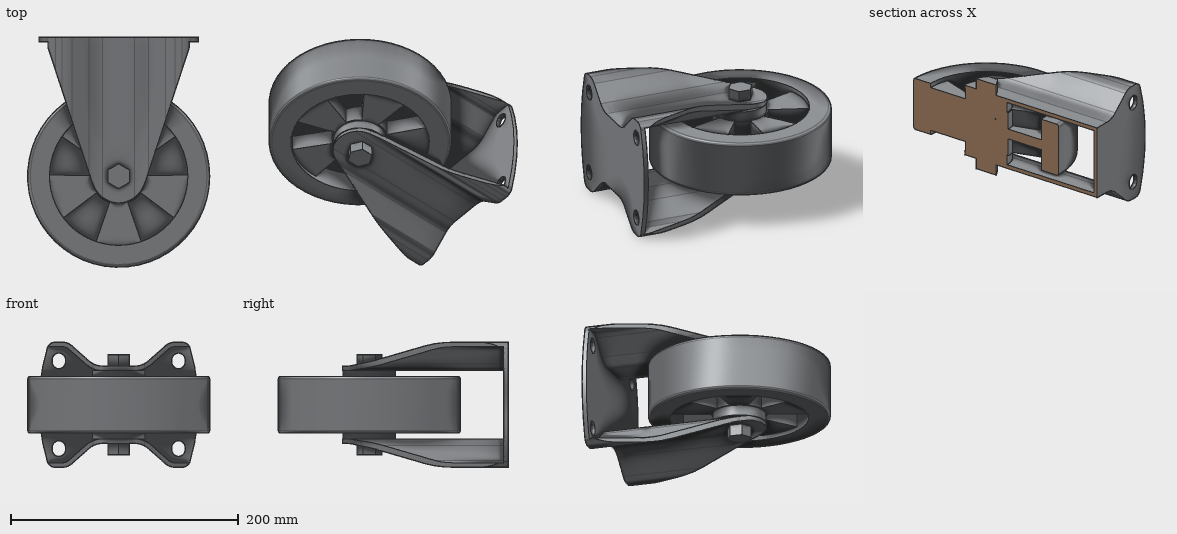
import cadquery as cq
import math


WHEEL_DIAMETER = 160.0
WHEEL_WIDTH = 50.0
TREAD_ROUND = 2.5
RIM_INNER_DIAMETER = 121.44
SPOKE_RECESS = 4.0
WEB_THICKNESS = 10.0
HUB_DIAMETER = 46.4
WINDOW_INNER_DIAMETER = 49.0
WINDOW_COUNT = 5
WINDOW_ANGLE = 34.0
FIRST_WINDOW_ANGLE = 18.0

SHEET = 4.0
BRACKET_WIDTH = 110.0
PLATE_LENGTH = 140.0
PLATE_BACK_Y = 122.0
LEG_GAP = 60.0
LEG_TIP_RADIUS = 23.7
LEG_TAPER_ANGLE = 18.2
CORNER_X = 61.0
CORNER_ROUND = 7.5

GROOVE_BOTTOM_X = 21.0
GROOVE_TOP_X = 44.7
GROOVE_BOTTOM_ROUND = 18.3
GROOVE_TOP_ROUND = 12.7

HOLE_WIDTH = 11.5
HOLE_LENGTH = 13.5
HOLE_SPACING_X = 105.0
HOLE_SPACING_Z = 77.0

BOLT_ACROSS_FLATS = 19.0
BOLT_HEAD_HEIGHT = 10.0

WHEEL_HALF = WHEEL_WIDTH / 2
WEB_HALF = WEB_THICKNESS / 2
BRACKET_HALF = BRACKET_WIDTH / 2
LEG_INNER_Z = LEG_GAP / 2
LEG_OUTER_Z = LEG_INNER_Z + SHEET
LEG_TIP_Y = -LEG_TIP_RADIUS
PLATE_FRONT_Y = PLATE_BACK_Y - SHEET
PLATE_SIDE_BULGE = PLATE_LENGTH / 2 - CORNER_X
GROOVE_SLOPE = math.atan2(BRACKET_HALF - LEG_OUTER_Z, GROOVE_TOP_X - GROOVE_BOTTOM_X)
BEND_SHIFT = SHEET * math.tan(GROOVE_SLOPE / 2)
EDGE_PICK = 1.0


def disc(diameter, bottom, top):
    """Cylinder on the axle axis between two heights."""
    return cq.Workplane("XY").workplane(offset=bottom).circle(diameter / 2).extrude(top - bottom)


def with_mirror(shape):
    """The shape together with its mirror image across the wheel's middle plane."""
    return shape.union(shape.mirror("XY"))


def spoke_window(angle):
    """Pocket between two spokes, from the hub collar out to the rim and down to the web."""
    start = math.radians(angle - WINDOW_ANGLE / 2)
    end = math.radians(angle + WINDOW_ANGLE / 2)
    reach = RIM_INNER_DIAMETER
    wedge = (
        cq.Workplane("XY")
        .workplane(offset=WEB_HALF)
        .lineTo(reach * math.cos(start), reach * math.sin(start))
        .lineTo(reach * math.cos(end), reach * math.sin(end))
        .close()
        .extrude(WHEEL_HALF - WEB_HALF)
    )
    rim_bore = disc(RIM_INNER_DIAMETER, WEB_HALF, WHEEL_HALF)
    collar = disc(WINDOW_INNER_DIAMETER, WEB_HALF, WHEEL_HALF)
    return wedge.intersect(rim_bore).cut(collar)


def make_wheel():
    """Wheel with recessed spokes on both faces, and the hub that spans the legs."""
    wheel = disc(WHEEL_DIAMETER, -WHEEL_HALF, WHEEL_HALF).edges().fillet(TREAD_ROUND)
    pockets = disc(RIM_INNER_DIAMETER, WHEEL_HALF - SPOKE_RECESS, WHEEL_HALF)
    for index in range(WINDOW_COUNT):
        pockets = pockets.union(spoke_window(FIRST_WINDOW_ANGLE + index * 360 / WINDOW_COUNT))
    hub = disc(HUB_DIAMETER, -LEG_INNER_Z, LEG_INNER_Z)
    return wheel.cut(with_mirror(pockets)).union(hub)


def round_bends(bar, x, z, radius):
    """Round the four edges along Y that pass through (+-x, +-z)."""
    for edge_x in (x, -x):
        for edge_z in (z, -z):
            pick = cq.selectors.BoxSelector(
                (edge_x - EDGE_PICK, LEG_TIP_Y, edge_z - EDGE_PICK),
                (edge_x + EDGE_PICK, PLATE_BACK_Y, edge_z + EDGE_PICK),
            )
            bar = bar.edges("|Y").edges(pick).fillet(radius)
    return bar


def grooved_bar(corner_x, groove_bottom, groove_top, back_y):
    """Bar from the leg tips to back_y, grooved above and below, with bowed sides.

    groove_bottom and groove_top are the (x, z, radius) of the groove's bends.
    """
    bottom_x, bottom_z, bottom_round = groove_bottom
    top_x, top_z, top_round = groove_top
    side_x = corner_x + PLATE_SIDE_BULGE
    bar = (
        cq.Workplane("XZ", origin=(0, back_y, 0))
        .moveTo(-corner_x, top_z)
        .lineTo(-top_x, top_z)
        .lineTo(-bottom_x, bottom_z)
        .lineTo(bottom_x, bottom_z)
        .lineTo(top_x, top_z)
        .lineTo(corner_x, top_z)
        .threePointArc((side_x, 0), (corner_x, -top_z))
        .lineTo(top_x, -top_z)
        .lineTo(bottom_x, -bottom_z)
        .lineTo(-bottom_x, -bottom_z)
        .lineTo(-top_x, -top_z)
        .lineTo(-corner_x, -top_z)
        .threePointArc((-side_x, 0), (-corner_x, top_z))
        .close()
        .extrude(back_y - LEG_TIP_Y)
    )
    bar = round_bends(bar, bottom_x, bottom_z, bottom_round)
    return round_bends(bar, top_x, top_z, top_round)


def bracket_body():
    """Grooved bar hollowed to the sheet thickness, open at the sides and the leg tips."""
    outer = grooved_bar(
        CORNER_X,
        (GROOVE_BOTTOM_X, LEG_OUTER_Z, GROOVE_BOTTOM_ROUND),
        (GROOVE_TOP_X, BRACKET_HALF, GROOVE_TOP_ROUND),
        PLATE_BACK_Y,
    )
    outer = round_bends(outer, CORNER_X, BRACKET_HALF, CORNER_ROUND)
    cavity = grooved_bar(
        PLATE_LENGTH,
        (GROOVE_BOTTOM_X + BEND_SHIFT, LEG_INNER_Z, GROOVE_BOTTOM_ROUND + SHEET),
        (GROOVE_TOP_X + BEND_SHIFT, BRACKET_HALF - SHEET, GROOVE_TOP_ROUND - SHEET),
        PLATE_FRONT_Y,
    )
    return outer.cut(cavity)


def bracket_envelope():
    """Tapered, round-tipped outline of the legs joined to the full block of the plate."""
    taper = math.radians(LEG_TAPER_ANGLE)
    tangent_x = LEG_TIP_RADIUS * math.cos(taper)
    tangent_y = LEG_TIP_Y * math.sin(taper)
    root_x = tangent_x + (PLATE_FRONT_Y - tangent_y) * math.tan(taper)
    legs = (
        cq.Workplane("XY")
        .workplane(offset=-BRACKET_HALF)
        .moveTo(-root_x, PLATE_FRONT_Y)
        .lineTo(-tangent_x, tangent_y)
        .threePointArc((0, LEG_TIP_Y), (tangent_x, tangent_y))
        .lineTo(root_x, PLATE_FRONT_Y)
        .close()
        .extrude(BRACKET_WIDTH)
    )
    plate_middle = (0, PLATE_BACK_Y - SHEET / 2, 0)
    plate = cq.Workplane("XY", origin=plate_middle).box(PLATE_LENGTH, SHEET, BRACKET_WIDTH)
    return legs.union(plate)


def plate_holes():
    """Four slotted mounting holes, long along Z."""
    return (
        cq.Workplane("XZ", origin=(0, PLATE_BACK_Y, 0))
        .rarray(HOLE_SPACING_X, HOLE_SPACING_Z, 2, 2)
        .slot2D(HOLE_LENGTH, HOLE_WIDTH, 90)
        .extrude(SHEET)
    )


def make_bracket():
    """Mounting plate with two legs that hold the axle."""
    return bracket_body().intersect(bracket_envelope()).cut(plate_holes())


def make_bolt_heads():
    """Hexagon heads outside both legs, with corners pointing along Y."""
    across_corners = BOLT_ACROSS_FLATS / math.cos(math.pi / 6)
    head = (
        cq.Workplane("XY")
        .workplane(offset=LEG_OUTER_Z)
        .transformed(rotate=(0, 0, 30))
        .polygon(6, across_corners)
        .extrude(BOLT_HEAD_HEIGHT)
    )
    return with_mirror(head)


result = make_wheel().union(make_bracket()).union(make_bolt_heads())